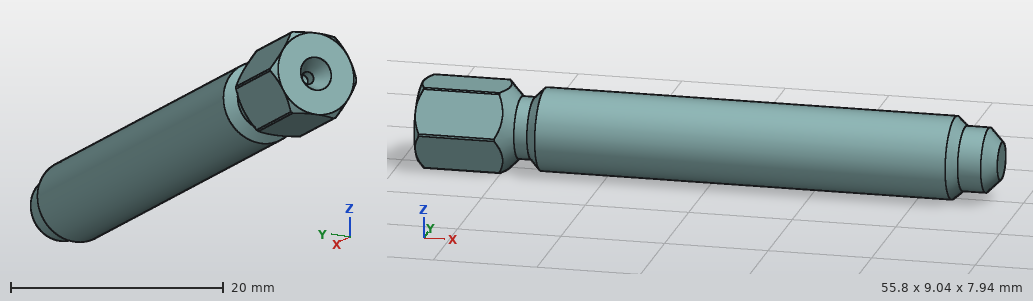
import cadquery as cq
import math

length = 55.82
body_radius = 7.9375 / 2
hex_sides = 6
hex_across_flats = 2 * body_radius
hex_corner_radius = 9.04 / 2

hex_edge_end = 7.86
neck_radius = 2.98
neck_end = 10.66

body_end_chamfer = 1.0
tip_radius = 3.1
tip_length = 3.53
tip_chamfer = 1.3

countersink_radius = 1.6
countersink_half_angle = math.radians(30)
pilot_radius = 0.6
pilot_depth = 1.2
drill_half_angle = math.radians(59)

head_face = -length / 2
tip_face = length / 2
head_cone_start = head_face + hex_edge_end
neck_start = head_cone_start + hex_corner_radius - neck_radius
neck_finish = head_face + neck_end
body_start = neck_finish + body_radius - neck_radius
tip_start = tip_face - tip_length
body_finish = tip_start - body_end_chamfer


def revolve_about_x(profile_points):
    """Revolve a closed (x, radius) outline about the X axis."""
    outline = cq.Workplane("XY").polyline(profile_points).close()
    return outline.revolve(360, (0, 0, 0), (1, 0, 0))


def make_head():
    """Hexagon with its corners rounded off and both ends turned to a cone."""
    hex_length = neck_start - head_face
    hex_diameter = hex_across_flats / math.cos(math.pi / hex_sides)
    prism = (
        cq.Workplane("YZ", origin=(head_face, 0, 0))
        .polygon(hex_sides, hex_diameter)
        .extrude(hex_length)
    )
    face_chamfer = hex_corner_radius - body_radius
    turned_envelope = revolve_about_x([
        (head_face, 0),
        (head_face, body_radius),
        (head_face + face_chamfer, hex_corner_radius),
        (head_cone_start, hex_corner_radius),
        (neck_start, neck_radius),
        (neck_start, 0),
    ])
    return prism.intersect(turned_envelope)


def make_shaft():
    """Neck, main cylinder and stepped tip as one turned shape."""
    return revolve_about_x([
        (neck_start, 0),
        (neck_start, neck_radius),
        (neck_finish, neck_radius),
        (body_start, body_radius),
        (body_finish, body_radius),
        (tip_start, tip_radius),
        (tip_face - tip_chamfer, tip_radius),
        (tip_face, tip_radius - tip_chamfer),
        (tip_face, 0),
    ])


def make_centre_hole():
    """Countersink, pilot and conical drill point, opening on the head face."""
    countersink_depth = (countersink_radius - pilot_radius) / math.tan(countersink_half_angle)
    pilot_start = head_face + countersink_depth
    pilot_end = pilot_start + pilot_depth
    drill_point = pilot_end + pilot_radius / math.tan(drill_half_angle)
    return revolve_about_x([
        (head_face, 0),
        (head_face, countersink_radius),
        (pilot_start, pilot_radius),
        (pilot_end, pilot_radius),
        (drill_point, 0),
    ])


result = make_head().union(make_shaft()).cut(make_centre_hole())